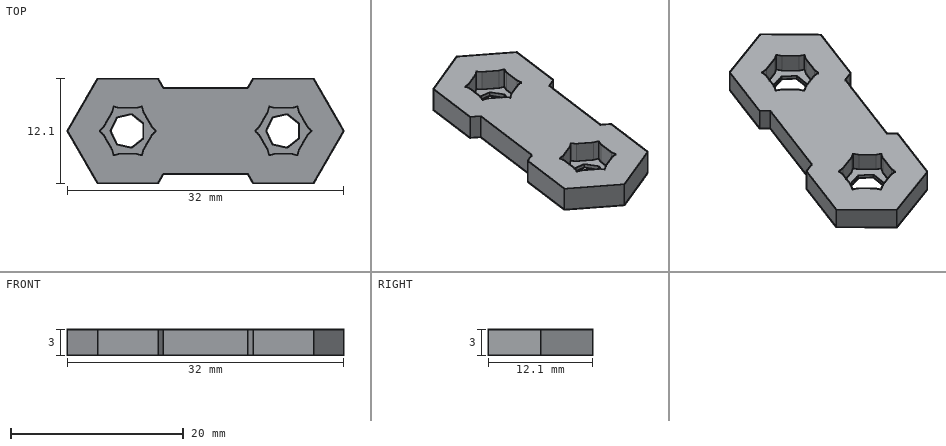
import cadquery as cq
import math

LENGTH = 32.0
WIDTH = 12.13
THICKNESS = 3.0
BAR_WIDTH = 10.0

HOLE_RADIUS = 2.0
HOLE_SIDES = 7
HOLE_CORNER_ANGLE = 180
NUT_FLATS = 5.3
NUT_DEPTH = 2.5
RELIEF_REACH = 3.25
RELIEF_RADIUS = 0.5
RELIEF_SIDES = 4

HEX_SIDES = 6
END_RADIUS = WIDTH / math.sqrt(3)
END_OFFSET = LENGTH / 2 - END_RADIUS
NUT_RADIUS = NUT_FLATS / math.sqrt(3)
RELIEF_OFFSET = RELIEF_REACH - RELIEF_RADIUS
POCKET_FLOOR = THICKNESS - NUT_DEPTH


def polar(center, radius, degrees):
    """Point at the given distance and direction from center."""
    angle = math.radians(degrees)
    return (center[0] + radius * math.cos(angle), center[1] + radius * math.sin(angle))


def prism(center, radius, sides, corner_angle=0, bottom=0):
    """Regular prism from height bottom to the top face, with one corner at corner_angle degrees."""
    corners = [polar(center, radius, corner_angle + i * 360 / sides) for i in range(sides)]
    return cq.Workplane("XY").workplane(offset=bottom).polyline(corners).close().extrude(THICKNESS - bottom)


def nut_pocket(center):
    """Hexagonal pocket with a small square relief pointing out of each corner."""
    pocket = prism(center, NUT_RADIUS, HEX_SIDES, bottom=POCKET_FLOOR)
    for i in range(HEX_SIDES):
        direction = i * 360 / HEX_SIDES
        relief_center = polar(center, RELIEF_OFFSET, direction)
        pocket = pocket.union(prism(relief_center, RELIEF_RADIUS, RELIEF_SIDES, direction, POCKET_FLOOR))
    return pocket


end_centers = [(-END_OFFSET, 0), (END_OFFSET, 0)]

result = cq.Workplane("XY").box(2 * END_OFFSET, BAR_WIDTH, THICKNESS, centered=(True, True, False))

for end_center in end_centers:
    result = result.union(prism(end_center, END_RADIUS, HEX_SIDES))

for end_center in end_centers:
    result = result.cut(nut_pocket(end_center))
    result = result.cut(prism(end_center, HOLE_RADIUS, HOLE_SIDES, HOLE_CORNER_ANGLE))